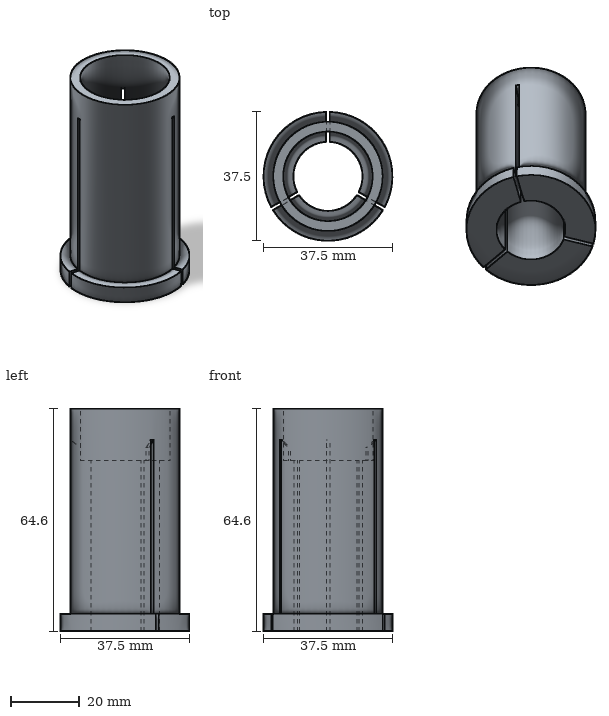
import cadquery as cq

total_height = 64.6
flange_diameter = 37.5
flange_height = 5.0
barrel_diameter = 31.75

bore_diameter = 20.0
socket_diameter = 26.0
socket_depth = 15.0

slot_count = 3
slot_width = 1.0
solid_ring_height = 9.0
slot_top_drop = 2.3
first_slot_angle = 90.0


def make_sleeve():
    """Flanged sleeve with its base on Z = 0."""
    flange = cq.Workplane("XY").circle(flange_diameter / 2).extrude(flange_height)
    barrel = cq.Workplane("XY").circle(barrel_diameter / 2).extrude(total_height)
    return flange.union(barrel)


def make_stepped_bore():
    """Through bore with the wider socket above it."""
    bore = cq.Workplane("XY").circle(bore_diameter / 2).extrude(total_height)
    socket = (
        cq.Workplane("XY")
        .workplane(offset=total_height - socket_depth)
        .circle(socket_diameter / 2)
        .extrude(socket_depth)
    )
    return bore.union(socket)


def make_slot(angle):
    """Radial slot from the axis outward, open at the base, with a sloping upper end."""
    barrel_radius = barrel_diameter / 2
    wall_thickness = (barrel_diameter - socket_diameter) / 2
    top_slope = slot_top_drop / wall_thickness
    outer_reach = flange_diameter / 2 + slot_width
    height_at_barrel = total_height - solid_ring_height
    height_at_axis = height_at_barrel - barrel_radius * top_slope
    height_at_reach = height_at_barrel + (outer_reach - barrel_radius) * top_slope
    profile = [
        (0, 0),
        (outer_reach, 0),
        (outer_reach, height_at_reach),
        (0, height_at_axis),
    ]
    return (
        cq.Workplane("XZ")
        .polyline(profile)
        .close()
        .extrude(slot_width / 2, both=True)
        .rotate((0, 0, 0), (0, 0, 1), angle)
    )


result = make_sleeve().cut(make_stepped_bore())
for index in range(slot_count):
    result = result.cut(make_slot(first_slot_angle + index * 360 / slot_count))